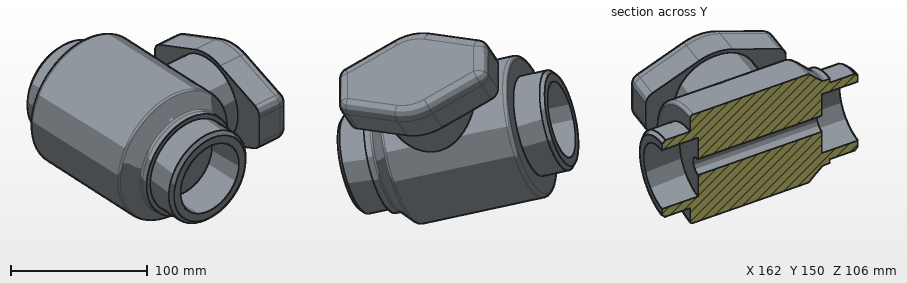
import cadquery as cq
import math

total_length = 162.0
body_diameter = 106.0
pipe_diameter = 75.0
collar_diameter = 82.5
body_half_length = 57.8
cone_start = 40.3
edge_size = 2.8
socket_diameter = 56.7
socket_depth = 29.8
port_diameter = 15.0

stem_diameter = 68.0
handle_bottom = 68.7
handle_top = 97.0
hub_radius = 37.3
end_half_width = 16.8
corner_radius = 8.7
top_edge_radius = 8.6

half_length = total_length / 2
body_radius = body_diameter / 2
collar_radius = collar_diameter / 2
cone_end = cone_start + body_radius - collar_radius


def cylinder_x(diameter, start, length):
    return cq.Workplane("YZ").workplane(offset=start).circle(diameter / 2).extrude(length)


def make_body():
    """Barrel with a conical shoulder and collar at the +X end."""
    profile = (
        cq.Workplane("XY")
        .moveTo(-body_half_length, 0)
        .lineTo(-body_half_length, body_radius)
        .lineTo(cone_start, body_radius)
        .lineTo(cone_end, collar_radius)
        .lineTo(body_half_length, collar_radius)
        .lineTo(body_half_length, 0)
        .close()
    )
    barrel = profile.revolve(360, (0, 0, 0), (1, 0, 0))
    margin = 0.2
    rounded_places = [
        (-body_half_length, body_radius),
        (cone_start, body_radius),
        (cone_end, collar_radius),
    ]
    for x, radius in rounded_places:
        selector = cq.selectors.BoxSelector(
            (x - margin, -radius - margin, -radius - margin),
            (x + margin, radius + margin, radius + margin),
            boundingbox=True,
        )
        barrel = barrel.edges(selector).fillet(edge_size)
    return barrel


def make_pipe():
    return cylinder_x(pipe_diameter, -half_length, total_length).faces("<X or >X").chamfer(edge_size)


def make_handle():
    """Round hub with two tapered wings whose flanks are tangent to the hub."""
    corner_distance = math.hypot(body_half_length, end_half_width)
    corner_angle = math.atan2(end_half_width, body_half_length)
    tangent_angle = corner_angle + math.acos(hub_radius / corner_distance)
    tangent_x = hub_radius * math.cos(tangent_angle)
    tangent_z = hub_radius * math.sin(tangent_angle)
    handle = (
        cq.Workplane("XZ", origin=(0, handle_bottom, 0))
        .moveTo(-body_half_length, -end_half_width)
        .lineTo(-tangent_x, -tangent_z)
        .threePointArc((0, -hub_radius), (tangent_x, -tangent_z))
        .lineTo(body_half_length, -end_half_width)
        .lineTo(body_half_length, end_half_width)
        .lineTo(tangent_x, tangent_z)
        .threePointArc((0, hub_radius), (-tangent_x, tangent_z))
        .lineTo(-body_half_length, end_half_width)
        .close()
        .extrude(handle_bottom - handle_top)
    )
    handle = handle.faces("<X or >X").edges("|Y").fillet(corner_radius)
    return handle.faces(">Y").edges().fillet(top_edge_radius)


def make_stem():
    return cq.Workplane("XZ").circle(stem_diameter / 2).extrude(-handle_bottom)


result = make_body().union(make_pipe()).union(make_stem()).union(make_handle())

result = result.cut(cylinder_x(port_diameter, -half_length, total_length))
for socket_start in (-half_length, half_length - socket_depth):
    result = result.cut(cylinder_x(socket_diameter, socket_start, socket_depth))